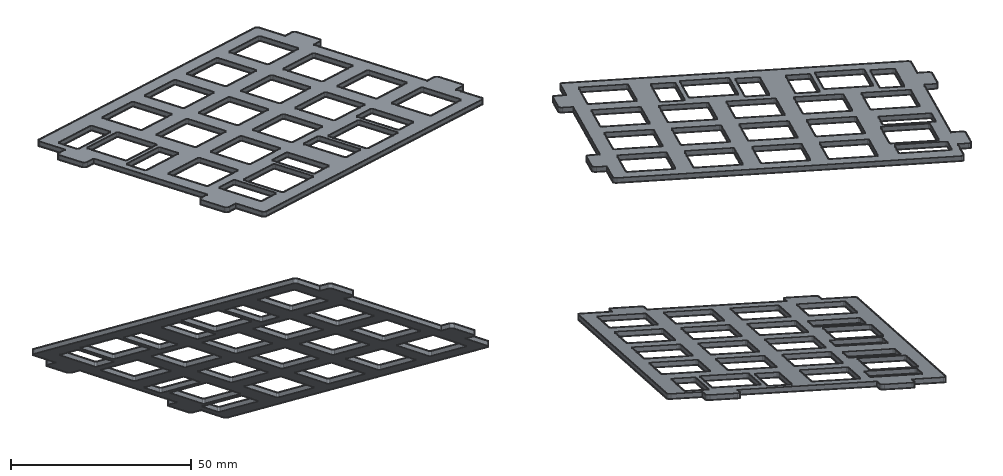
import cadquery as cq

key_pitch = 19.05
columns = 4
rows = 5
edge_margin = key_pitch / 10
plate_width = columns * key_pitch + 2 * edge_margin
plate_height = rows * key_pitch + 2 * edge_margin
plate_thickness = 1.5
plate_corner_radius = edge_margin / 2

tab_width = 10.0
tab_projection = 4.0
tab_offset = 25.0
tab_corner_radius = 1.0

switch_size = 14.0
switch_corner_radius = 0.5

stabilizer_width = 7.0
stabilizer_length = 15.0
stabilizer_corner_radius = 0.5
stabilizer_spacing = 23.876
stabilizer_shift = 1.5


def key_position(column, row):
    """Centre of a grid cell; column 0 is at -X, row 0 at +Y, halves lie between cells."""
    x = (column - (columns - 1) / 2) * key_pitch
    y = ((rows - 1) / 2 - row) * key_pitch
    return x, y


def rounded_block(width, height, radius, center=(0, 0)):
    """Full-thickness rectangle with rounded corners, standing on Z = 0."""
    block = cq.Workplane("XY").center(*center).rect(width, height).extrude(plate_thickness)
    return block.edges("|Z").fillet(radius)


def make_plate():
    plate = rounded_block(plate_width, plate_height, plate_corner_radius)
    strip_height = plate_height + 2 * tab_projection
    for x in (-tab_offset, tab_offset):
        plate = plate.union(rounded_block(tab_width, strip_height, tab_corner_radius, (x, 0)))
    return plate


def cut_switch(plate, column, row):
    center = key_position(column, row)
    return plate.cut(rounded_block(switch_size, switch_size, switch_corner_radius, center))


def cut_wide_key(plate, column, row):
    """Double key along X: stabilizers left and right, shifted toward -Y."""
    plate = cut_switch(plate, column, row)
    x, y = key_position(column, row)
    for side in (-1, 1):
        center = (x + side * stabilizer_spacing / 2, y - stabilizer_shift)
        slot = rounded_block(stabilizer_width, stabilizer_length, stabilizer_corner_radius, center)
        plate = plate.cut(slot)
    return plate


def cut_tall_key(plate, column, row):
    """Double key along Y: stabilizers above and below, shifted toward -X."""
    plate = cut_switch(plate, column, row)
    x, y = key_position(column, row)
    for side in (-1, 1):
        center = (x - stabilizer_shift, y + side * stabilizer_spacing / 2)
        slot = rounded_block(stabilizer_length, stabilizer_width, stabilizer_corner_radius, center)
        plate = plate.cut(slot)
    return plate


single_keys = [(column, row) for row in range(rows - 1) for column in range(columns - 1)]
single_keys += [(3, 0), (2, 4)]
tall_keys = [(3, 1.5), (3, 3.5)]
wide_key = (0.5, 4)

result = make_plate()
for column, row in single_keys:
    result = cut_switch(result, column, row)
for column, row in tall_keys:
    result = cut_tall_key(result, column, row)
result = cut_wide_key(result, *wide_key)